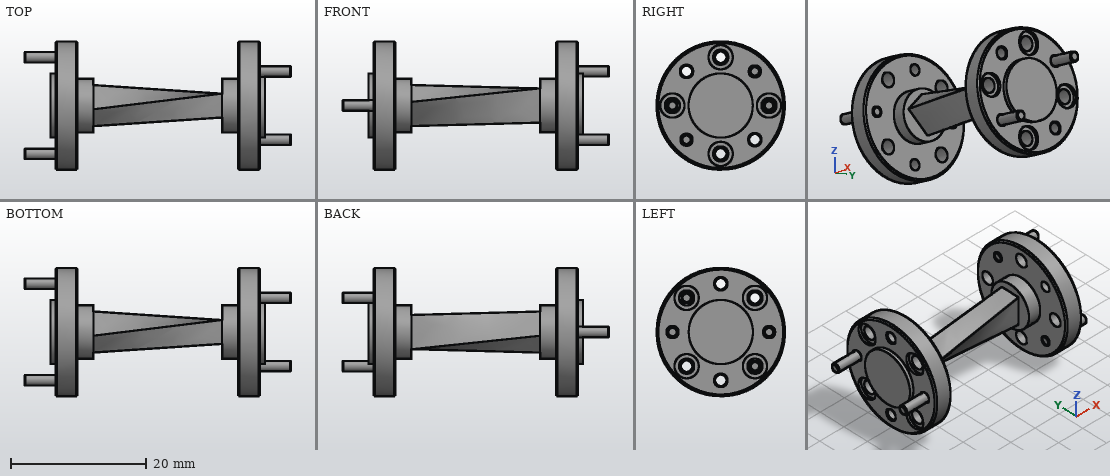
import cadquery as cq
import math

OVERALL_LENGTH = 39.5
FACE_TO_FACE = 31.75
BOSS_HEIGHT = 0.7
FLANGE_THICKNESS = 3.3
HUB_LENGTH = 2.35

PIN_TIP_X = OVERALL_LENGTH / 2
BOSS_FACE_X = FACE_TO_FACE / 2
FLANGE_FACE_X = BOSS_FACE_X - BOSS_HEIGHT
FLANGE_BACK_X = FLANGE_FACE_X - FLANGE_THICKNESS
HUB_END_X = FLANGE_BACK_X - HUB_LENGTH

FLANGE_DIAMETER = 19.05
FLANGE_CHAMFER = 0.28
BOSS_DIAMETER = 9.5
HUB_DIAMETER = 7.98

HOLE_CIRCLE_RADIUS = 7.15
SCREW_HOLE_DIAMETER = 2.25
COUNTERBORE_DIAMETER = 3.6
COUNTERBORE_DEPTH = 0.5
SOCKET_DIAMETER = 1.7
SOCKET_CHAMFER = 0.15
PIN_DIAMETER = 1.58
PIN_HOLE_CHAMFER = 0.1
PIN_CHAMFER = 0.15

TUBE_WIDTH = 3.55
TUBE_HEIGHT = 5.1
TWIST_ANGLE = 45.0

LEFT, RIGHT = -1, 1
FIRST_PIN_ANGLE = {LEFT: 0.0, RIGHT: TWIST_ANGLE}


def hole_position(x, angle):
    """Point on the hole circle at a station along X."""
    turn = math.radians(angle)
    return (x, HOLE_CIRCLE_RADIUS * math.cos(turn), HOLE_CIRCLE_RADIUS * math.sin(turn))


def disc(diameter, x_start, x_end, angle=None):
    """Cylinder along X between two stations, on the axis or at an angle on the hole circle."""
    centre = (x_start, 0, 0) if angle is None else hole_position(x_start, angle)
    return cq.Workplane("YZ", origin=centre).circle(diameter / 2).extrude(x_end - x_start)


def rimmed_hole(side, diameter, chamfer, angle):
    """Cutter for a hole through a flange, widened by a chamfer at the mating face."""
    rim_x = side * (FLANGE_FACE_X - chamfer)
    hole = disc(diameter, side * FLANGE_BACK_X, rim_x, angle)
    rim_plane = cq.Plane(origin=hole_position(rim_x, angle), normal=(side, 0, 0))
    rim = (
        cq.Workplane(rim_plane)
        .circle(diameter / 2)
        .workplane(offset=chamfer)
        .circle(diameter / 2 + chamfer)
        .loft()
    )
    return hole.union(rim)


def flange_end(side):
    """Flange with its mating boss and tube hub, drilled with every hole."""
    face_x = side * FLANGE_FACE_X
    back_x = side * FLANGE_BACK_X
    first = FIRST_PIN_ANGLE[side]

    body = disc(FLANGE_DIAMETER, back_x, face_x).edges().chamfer(FLANGE_CHAMFER)
    body = body.union(disc(BOSS_DIAMETER, face_x, side * BOSS_FACE_X))
    body = body.union(disc(HUB_DIAMETER, side * HUB_END_X, back_x))

    for angle in (first, first + 180):
        body = body.cut(rimmed_hole(side, PIN_DIAMETER, PIN_HOLE_CHAMFER, angle))

    for angle in (first + 90, first + 270):
        body = body.cut(rimmed_hole(side, SOCKET_DIAMETER, SOCKET_CHAMFER, angle))

    floor_x = side * (FLANGE_FACE_X - COUNTERBORE_DEPTH)
    for quarter in range(4):
        screw_angle = first + 45 + 90 * quarter
        body = body.cut(disc(SCREW_HOLE_DIAMETER, back_x, face_x, screw_angle))
        body = body.cut(disc(COUNTERBORE_DIAMETER, floor_x, face_x, screw_angle))
    return body


def twisted_tube():
    """Rectangular bar with ruled sides, its left end turned by the twist angle."""

    def end_section(x, turn):
        section = cq.Wire.makePolygon(
            [
                cq.Vector(x, y_sign * TUBE_WIDTH / 2, z_sign * TUBE_HEIGHT / 2)
                for y_sign, z_sign in ((-1, -1), (1, -1), (1, 1), (-1, 1))
            ],
            close=True,
        )
        return section.rotate(cq.Vector(0, 0, 0), cq.Vector(1, 0, 0), turn)

    left_section = end_section(-HUB_END_X, TWIST_ANGLE)
    right_section = end_section(HUB_END_X, 0.0)
    return cq.Workplane(cq.Solid.makeLoft([left_section, right_section], True))


def alignment_pin(side, angle):
    """Pin through the flange, flush with its back and chamfered at both ends."""
    pin = disc(PIN_DIAMETER, side * FLANGE_BACK_X, side * PIN_TIP_X, angle)
    return pin.faces("<X or >X").chamfer(PIN_CHAMFER)


housing = flange_end(LEFT).union(twisted_tube()).union(flange_end(RIGHT))

pins = []
for side in (LEFT, RIGHT):
    for half_turn in (0, 180):
        pins.append(alignment_pin(side, FIRST_PIN_ANGLE[side] + half_turn))

result = cq.Compound.makeCompound([housing.val(), *[pin.val() for pin in pins]])